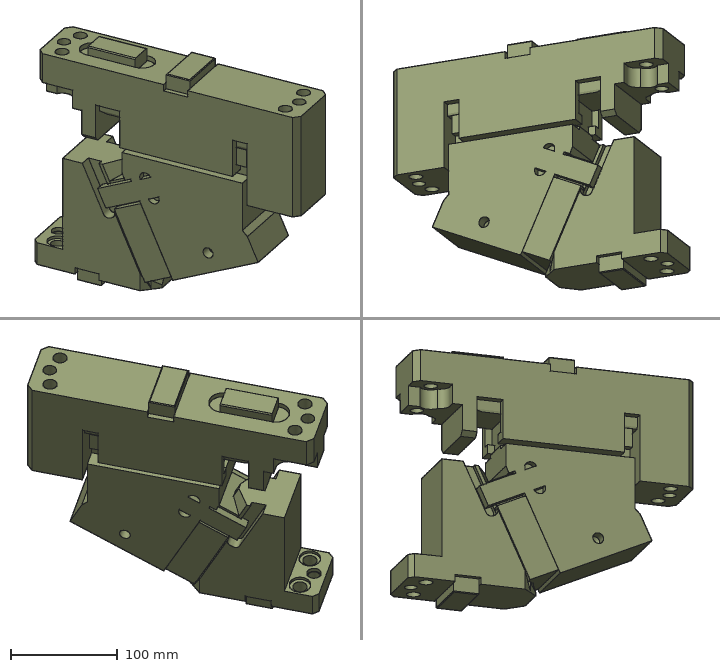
import cadquery as cq
import math

LENGTH = 282.0
WIDTH = 60.0
HEIGHT = 243.0
HALF_WIDTH = WIDTH / 2
FAR = 564.0
SIDES = (-1, 1)

KEY_WIDTH = 25.5
KEY_SPAN = 50.2
KEY_PROUD = 8.7
KEY_SUNK = 6.8
KEY_CHAMFER = 0.8
UPPER_KEY_X = 152.0
BASE_KEY_X = 57.8

UPPER_LEFT = 5.0
UPPER_TOP = HEIGHT - KEY_PROUD
UPPER_FOOT = 184.5
LEG_BOTTOM = 128.5
BLOCK_BOTTOM = 155.5
TAB_BOTTOM = 154.5
TAB_LEFT = 52.2
TAB_RIGHT = 66.8
BLOCK_LEFT = 92.5
BLOCK_RIGHT = 212.3
LEG_LEFT = 227.5
UPPER_CORNER = 6.0
TAB_CORNER = 4.8
NOTCH_TOP = 194.0
SPINE_HALF = 22.3
SPINE_BOTTOM = 182.5
SPINE_TAPER = 0.5
SPINE_RAMP_END = 74.5

BOLT_DIA = 13.0
BOLT_Y = 18.0
DOWEL_DIA = 12.5
UPPER_LEFT_BOLT_X = 25.0
UPPER_LEFT_DOWEL_X = 17.5
UPPER_RIGHT_BOLT_X = 262.0
UPPER_RIGHT_DOWEL_X = 267.0

RELIEF_TOP = 203.5
RELIEF_END = 42.5
RELIEF_RIB = 23.7
RELIEF_FILLET = 10.0
RELIEF_BORE_DIA = 21.5

POCKET_X = 74.2
POCKET_LENGTH = 77.3
POCKET_WIDTH = 25.5
POCKET_DEPTH = 5.0
PAD_LENGTH = 50.2
PAD_WIDTH = 23.7
PAD_CHAMFER = 1.0

NECK_HALF = 14.7
HEAD_BOTTOM = 164.0
NECK_LEFT = 99.3
LEDGE_TOP = 154.0

BASE_BOTTOM = KEY_PROUD
FOOT_TOP = 32.0
BASE_TOP = LEG_BOTTOM
BASE_BODY_LEFT = 32.1
BASE_RIGHT = 129.7
FOOT_CORNER = 5.0
BASE_CORNER_X = 15.5
BASE_CORNER_Y = 14.7
BASE_BOLT_X = 20.3
BASE_DOWEL_X = 11.5
BASE_BOLT_DIA = 13.3
BASE_BORE_DIA = 20.0
BASE_BORE_DEPTH = 2.8
BASE_DOWEL_DIA = 11.8
BASE_DOWEL_BORE_DIA = 13.3
BASE_DOWEL_BORE_DEPTH = 4.0

SLIDE_ANGLE = math.radians(25)
SLIDE_ORIGIN_X = 67.7
SHOULDER_U = -0.8
VEE_HALF = 22.8
VEE_FOOT_U = 2.5
CREST_HALF = 3.5
CREST_U = 14.0
GROOVE_WIDTH = 12.5
GROOVE_END_S = 52.2
GROOVE_FILLET = 5.0
GROOVE_FLOOR_HALF = 18.0

SLIDER_LEFT = 95.3
SLIDER_RIGHT = 222.8
SHOULDER_TOP = 151.0
SLIDER_LEFT_U = 0.3
END_S = 19.0
END_RIGHT_U = 24.8
NOSE_U = 131.5
NOSE_TOP_S = 97.9
NOSE_BOTTOM_S = 125.0
CHEEK_U = 31.3
CHEEK_TOP_S = 44.5
CHEEK_BOTTOM_S = 121.3
CHEEK_RECESS = 0.3
HOOK_U = -8.2
TOE_HALF = 20.5
HOOK_TOP_S = 21.2
HOOK_BOTTOM_S = 41.7
HALF_ROUND_RADIUS = 6.0
HALF_ROUND_U = 47.7
SIDE_HOLE_X = 186.5
SIDE_HOLE_Z = 67.5
SIDE_HOLE_DIA = 10.5
SIDE_HOLE_DEPTH = 11.3
DRILL_POINT = math.radians(59)


def box(x0, x1, y0, y1, z0, z1):
    size = (x1 - x0, y1 - y0, z1 - z0)
    return cq.Workplane("XY").box(*size, centered=False).translate((x0, y0, z0))


def extrude_outline(points, y0=-HALF_WIDTH, y1=HALF_WIDTH):
    """Closed outline of (x, z) points extruded from y0 to y1."""
    return cq.Workplane("XZ", origin=(0, y0, 0)).polyline(points).close().extrude(y0 - y1)


def drill(x, y, diameter, floor=0):
    """Vertical hole, open upwards, down to the height of its floor."""
    return cq.Workplane("XY", origin=(x, y, floor)).circle(diameter / 2).extrude(FAR)


def incline(u, s):
    """(x, z) of a point given in inclined coordinates."""
    x = SLIDE_ORIGIN_X + u * math.cos(SLIDE_ANGLE) + s * math.sin(SLIDE_ANGLE)
    z = BASE_TOP + u * math.sin(SLIDE_ANGLE) - s * math.cos(SLIDE_ANGLE)
    return x, z


def inclined_block(u0, u1, s0, s1, y0, y1):
    corners = [(u0, s0), (u1, s0), (u1, s1), (u0, s1)]
    return extrude_outline([incline(u, s) for u, s in corners], y0, y1)


def side_range(side, inner, outer=HALF_WIDTH):
    """Y limits of a layer between two distances from the middle plane."""
    return sorted((side * inner, side * outer))


def key_block(x, z0, z1, proud_faces):
    key = box(x - KEY_WIDTH / 2, x + KEY_WIDTH / 2, -KEY_SPAN / 2, KEY_SPAN / 2, z0, z1)
    return key.faces(proud_faces).edges().chamfer(KEY_CHAMFER)


def key_seat(x, z0, z1):
    return box(x - KEY_WIDTH / 2, x + KEY_WIDTH / 2, -HALF_WIDTH, HALF_WIDTH, z0, z1)


def guide_prism():
    """Endless V-guide along the slide; the base lies inside it, the slider outside."""
    half = [
        (-FAR, HALF_WIDTH),
        (SHOULDER_U, HALF_WIDTH),
        (SHOULDER_U, VEE_HALF),
        (VEE_FOOT_U, VEE_HALF),
        (CREST_U, CREST_HALF),
    ]
    profile = half + [(u, -y) for u, y in reversed(half)]
    down_slide = (math.sin(SLIDE_ANGLE), 0, -math.cos(SLIDE_ANGLE))
    across = (math.cos(SLIDE_ANGLE), 0, math.sin(SLIDE_ANGLE))
    plane = cq.Plane(origin=(SLIDE_ORIGIN_X, 0, BASE_TOP), xDir=across, normal=down_slide)
    return cq.Workplane(plane).polyline(profile).close().extrude(FAR, both=True)


def t_guide():
    """Neck and head of the slider, which fill the T-slot of the upper body."""
    neck = box(NECK_LEFT, SLIDER_RIGHT, -NECK_HALF, NECK_HALF, SHOULDER_TOP, HEAD_BOTTOM)
    head = box(NECK_LEFT, SLIDER_RIGHT, -SPINE_HALF, SPINE_HALF, HEAD_BOTTOM, SPINE_BOTTOM)
    return neck.union(head)


def relief_pocket(side):
    y0, y1 = side_range(side, RELIEF_RIB / 2, FAR)
    pocket = box(-FAR, RELIEF_END, y0, y1, UPPER_FOOT, RELIEF_TOP)
    inner_edge = ">X and " + ("<Y" if side > 0 else ">Y")
    pocket = pocket.edges("|Z").edges(inner_edge).fillet(RELIEF_FILLET)
    bore = (
        cq.Workplane("XY", origin=(UPPER_LEFT_BOLT_X, side * BOLT_Y, UPPER_FOOT))
        .circle(RELIEF_BORE_DIA / 2)
        .extrude(RELIEF_TOP - UPPER_FOOT)
    )
    return pocket.union(bore)


def upper_blank():
    outline = [
        (UPPER_LEFT, UPPER_TOP),
        (LENGTH, UPPER_TOP),
        (LENGTH, LEG_BOTTOM),
        (LEG_LEFT, LEG_BOTTOM),
        (LEG_LEFT, SPINE_BOTTOM),
        (BLOCK_RIGHT, SPINE_BOTTOM),
        (BLOCK_RIGHT, BLOCK_BOTTOM),
        (BLOCK_LEFT, BLOCK_BOTTOM),
        (BLOCK_LEFT, SPINE_BOTTOM),
        (SPINE_RAMP_END, SPINE_BOTTOM),
        (TAB_RIGHT, UPPER_FOOT),
        (TAB_RIGHT, TAB_BOTTOM),
        (TAB_LEFT, TAB_BOTTOM),
        (TAB_LEFT, UPPER_FOOT),
        (UPPER_LEFT, UPPER_FOOT),
    ]
    blank = extrude_outline(outline)
    blank = blank.edges("|Z and (<X or >X)").chamfer(UPPER_CORNER)
    tab_edges = cq.selectors.BoxSelector((0, -FAR, 0), (BLOCK_LEFT, FAR, BLOCK_BOTTOM))
    return blank.edges(tab_edges).edges("|X").chamfer(TAB_CORNER)


def notch(x0, x1, side):
    """Side notch above a gap; the centre plate it leaves tapers at its lower edge."""
    profile = [
        (side * FAR, SPINE_BOTTOM),
        (side * (SPINE_HALF - SPINE_TAPER), SPINE_BOTTOM),
        (side * SPINE_HALF, UPPER_FOOT),
        (side * SPINE_HALF, NOTCH_TOP),
        (side * FAR, NOTCH_TOP),
    ]
    return cq.Workplane("YZ", origin=(x0, 0, 0)).polyline(profile).close().extrude(x1 - x0)


def make_upper():
    upper = upper_blank()
    for side in SIDES:
        upper = upper.cut(relief_pocket(side))
        upper = upper.cut(notch(TAB_RIGHT, BLOCK_LEFT, side))
        upper = upper.cut(notch(BLOCK_RIGHT, LEG_LEFT, side))
        for x in (UPPER_LEFT_BOLT_X, UPPER_RIGHT_BOLT_X):
            upper = upper.cut(drill(x, side * BOLT_Y, BOLT_DIA))
    for x in (UPPER_LEFT_DOWEL_X, UPPER_RIGHT_DOWEL_X):
        upper = upper.cut(drill(x, 0, DOWEL_DIA))

    slot_neck = box(BLOCK_LEFT, BLOCK_RIGHT, -NECK_HALF, NECK_HALF, BLOCK_BOTTOM, HEAD_BOTTOM)
    slot_head = box(BLOCK_LEFT, BLOCK_RIGHT, -SPINE_HALF, SPINE_HALF, HEAD_BOTTOM, SPINE_BOTTOM)
    upper = upper.cut(slot_neck).cut(slot_head)

    floor = UPPER_TOP - POCKET_DEPTH
    pocket = (
        cq.Workplane("XY", origin=(POCKET_X, 0, floor))
        .slot2D(POCKET_LENGTH, POCKET_WIDTH)
        .extrude(FAR)
    )
    pad = (
        cq.Workplane("XY", origin=(POCKET_X, 0, floor))
        .rect(PAD_LENGTH, PAD_WIDTH)
        .extrude(HEIGHT - floor)
        .edges("|X and >Z")
        .chamfer(PAD_CHAMFER)
    )
    upper = upper.cut(pocket).union(pad)

    seat_floor = UPPER_TOP - KEY_SUNK
    upper = upper.cut(key_seat(UPPER_KEY_X, seat_floor, UPPER_TOP))
    return upper.union(key_block(UPPER_KEY_X, seat_floor, HEIGHT, ">Z"))


def hook_groove(side):
    """Side groove along the slide, open at the base top, with rounded corners at its lower end."""
    y0, y1 = side_range(side, GROOVE_FLOOR_HALF)
    left_u = SHOULDER_U - GROOVE_WIDTH
    groove = inclined_block(left_u, SHOULDER_U, -GROOVE_WIDTH, GROOVE_END_S, y0, y1)
    lower_end = cq.selectors.BoxSelector(
        (-FAR, -FAR, 0), (FAR, FAR, incline(0, GROOVE_END_S / 2)[1])
    )
    return groove.edges("|Y").edges(lower_end).fillet(GROOVE_FILLET)


def base_corner(side):
    """Corner cut off the right-hand end of the base."""
    outline = [
        (BASE_RIGHT, side * HALF_WIDTH),
        (BASE_RIGHT - BASE_CORNER_X, side * HALF_WIDTH),
        (BASE_RIGHT, side * (HALF_WIDTH - BASE_CORNER_Y)),
    ]
    return cq.Workplane("XY").polyline(outline).close().extrude(FAR)


def make_base():
    foot = box(0, BASE_RIGHT, -HALF_WIDTH, HALF_WIDTH, BASE_BOTTOM, FOOT_TOP)
    foot = foot.edges("|Z and <X").chamfer(FOOT_CORNER)
    body = box(BASE_BODY_LEFT, BASE_RIGHT, -HALF_WIDTH, HALF_WIDTH, BASE_BOTTOM, BASE_TOP)
    base = foot.union(body)
    for side in SIDES:
        base = base.cut(base_corner(side))
    base = base.intersect(guide_prism())
    for side in SIDES:
        base = base.cut(hook_groove(side))
        bolt_y = side * BOLT_Y
        base = base.cut(drill(BASE_BOLT_X, bolt_y, BASE_BOLT_DIA))
        base = base.cut(drill(BASE_BOLT_X, bolt_y, BASE_BORE_DIA, FOOT_TOP - BASE_BORE_DEPTH))
    base = base.cut(drill(BASE_DOWEL_X, 0, BASE_DOWEL_DIA))
    base = base.cut(drill(BASE_DOWEL_X, 0, BASE_DOWEL_BORE_DIA, FOOT_TOP - BASE_DOWEL_BORE_DEPTH))

    seat_ceiling = BASE_BOTTOM + KEY_SUNK
    base = base.cut(key_seat(BASE_KEY_X, BASE_BOTTOM, seat_ceiling))
    return base.union(key_block(BASE_KEY_X, 0, seat_ceiling, "<Z"))


def slider_blank():
    nose_x, nose_z = incline(NOSE_U, NOSE_TOP_S)
    left_foot = incline(END_RIGHT_U, END_S)
    outline = [
        (SLIDER_LEFT, SHOULDER_TOP),
        (SLIDER_LEFT, BASE_TOP),
        left_foot,
        incline(SLIDER_LEFT_U, END_S),
        incline(SLIDER_LEFT_U, CHEEK_BOTTOM_S),
        incline(CHEEK_U, CHEEK_BOTTOM_S),
        incline(CHEEK_U, NOSE_BOTTOM_S),
        incline(NOSE_U, NOSE_BOTTOM_S),
        (nose_x, nose_z),
        (SLIDER_RIGHT, nose_z + (nose_x - SLIDER_RIGHT)),
        (SLIDER_RIGHT, SHOULDER_TOP),
    ]
    return extrude_outline(outline)


def half_round(side, s, direction):
    """Half-round recess whose flat side lies along a hook-bar edge."""
    y0, y1 = side_range(side, VEE_HALF)
    start = incline(HALF_ROUND_U - HALF_ROUND_RADIUS, s)
    middle = incline(HALF_ROUND_U, s + direction * HALF_ROUND_RADIUS)
    end = incline(HALF_ROUND_U + HALF_ROUND_RADIUS, s)
    plane = cq.Workplane("XZ", origin=(0, y0, 0))
    return plane.moveTo(*start).threePointArc(middle, end).close().extrude(y0 - y1)


def side_hole(side):
    """Blind hole with a conical end, drilled in from one side face."""
    radius = SIDE_HOLE_DIA / 2
    tip = radius / math.tan(DRILL_POINT)
    profile = [
        (0, 0),
        (radius, 0),
        (radius, SIDE_HOLE_DEPTH),
        (0, SIDE_HOLE_DEPTH + tip),
    ]
    hole = cq.Workplane("XY").polyline(profile).close().revolve(360, (0, 0), (0, 1))
    if side > 0:
        hole = hole.rotate((0, 0, 0), (0, 0, 1), 180)
    return hole.translate((SIDE_HOLE_X, side * HALF_WIDTH, SIDE_HOLE_Z))


def make_slider():
    slider = slider_blank().cut(guide_prism())
    ledge = box(SLIDER_LEFT, NECK_LEFT, -NECK_HALF, NECK_HALF, SHOULDER_TOP, LEDGE_TOP)
    slider = slider.union(t_guide()).union(ledge)
    for side in SIDES:
        y0, y1 = side_range(side, VEE_HALF)
        slider = slider.cut(inclined_block(-FAR, CHEEK_U, END_S, HOOK_TOP_S, y0, y1))
        slider = slider.cut(inclined_block(-FAR, CHEEK_U, HOOK_BOTTOM_S, CHEEK_TOP_S, y0, y1))
        skin = side_range(side, HALF_WIDTH - CHEEK_RECESS)
        slider = slider.cut(inclined_block(-FAR, CHEEK_U, CHEEK_TOP_S, CHEEK_BOTTOM_S, *skin))
        slider = slider.union(inclined_block(SHOULDER_U, CHEEK_U, HOOK_TOP_S, HOOK_BOTTOM_S, y0, y1))
        toe = inclined_block(
            HOOK_U, SHOULDER_U, HOOK_TOP_S, HOOK_BOTTOM_S, *side_range(side, TOE_HALF)
        )
        slider = slider.union(toe)
        slider = slider.cut(half_round(side, HOOK_TOP_S, -1))
        slider = slider.cut(half_round(side, HOOK_BOTTOM_S, 1))
        slider = slider.cut(side_hole(side))
    return slider


upper = make_upper()
slider = make_slider()
base = make_base()
result = cq.Compound.makeCompound(
    [upper.solids().val(), slider.solids().val(), base.solids().val()]
)